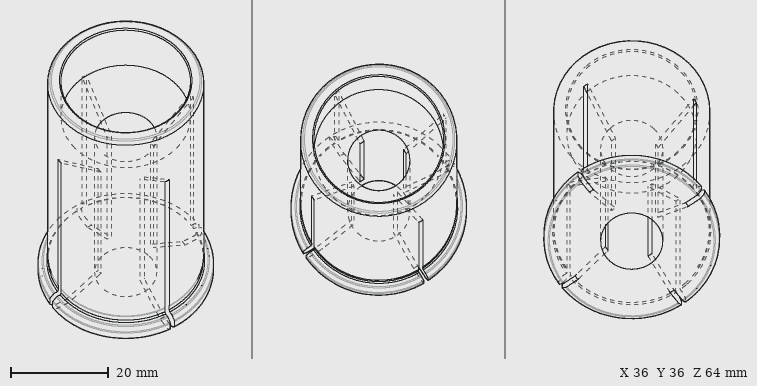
import cadquery as cq
import math

LENGTH = 64.0
BODY_RADIUS = 32.0 / 2
TOP_CHAMFER_HEIGHT = 0.98
TOP_CHAMFER_ANGLE = 30.0
TOP_CHAMFER_WIDTH = TOP_CHAMFER_HEIGHT * math.tan(math.radians(TOP_CHAMFER_ANGLE))

FLANGE_RADIUS = 36.0 / 2
FLANGE_HEIGHT = 4.0
FLANGE_CHAMFER = 1.0

GROOVE_DEPTH = 0.1
GROOVE_RADIUS = BODY_RADIUS - GROOVE_DEPTH
GROOVE_TOP = 6.0
GROOVE_TAPER_ANGLE = 15.0
GROOVE_TAPER_HEIGHT = GROOVE_DEPTH / math.tan(math.radians(GROOVE_TAPER_ANGLE))
GROOVE_FOOT_HEIGHT = 0.47
GROOVE_FOOT_ANGLE = 30.0
GROOVE_FOOT_WIDTH = GROOVE_FOOT_HEIGHT * math.tan(math.radians(GROOVE_FOOT_ANGLE))

EDGE_FILLET = 0.4

WIDE_BORE_RADIUS = 26.5 / 2
NARROW_BORE_RADIUS = 12.7 / 2
WIDE_BORE_DEPTH = 12.0
BORE_CHAMFER = 0.3

SLOT_COUNT = 4
SLOT_WIDTH = 1.0
SLOT_TOP = 48.0
SLOT_FOOT_RADIUS = 14.0
SLOT_FOOT_ANGLE = 30.0
SLOT_OVERRUN = 1.0


def make_outer_body():
    """Sleeve, groove and flange revolved about Z, with the chamfer edges rounded."""
    foot_radius = GROOVE_RADIUS + GROOVE_FOOT_WIDTH
    top_radius = BODY_RADIUS - TOP_CHAMFER_WIDTH
    flange_face_radius = FLANGE_RADIUS - FLANGE_CHAMFER
    body = (
        cq.Workplane("XZ")
        .polyline(
            [
                (0, 0),
                (flange_face_radius, 0),
                (FLANGE_RADIUS, FLANGE_CHAMFER),
                (FLANGE_RADIUS, FLANGE_HEIGHT - FLANGE_CHAMFER),
                (flange_face_radius, FLANGE_HEIGHT),
                (foot_radius, FLANGE_HEIGHT),
                (GROOVE_RADIUS, FLANGE_HEIGHT + GROOVE_FOOT_HEIGHT),
                (GROOVE_RADIUS, GROOVE_TOP - GROOVE_TAPER_HEIGHT),
                (BODY_RADIUS, GROOVE_TOP),
                (BODY_RADIUS, LENGTH - TOP_CHAMFER_HEIGHT),
                (top_radius, LENGTH),
                (0, LENGTH),
            ]
        )
        .close()
        .revolve(360, (0, 0, 0), (0, 1, 0))
    )
    rounded_radii = (FLANGE_RADIUS, flange_face_radius, top_radius)

    def is_rounded(edge):
        return any(math.isclose(edge.radius(), radius) for radius in rounded_radii)

    return body.edges("%CIRCLE").filter(is_rounded).fillet(EDGE_FILLET)


def make_bore():
    """Stepped bore with its conical transition and the chamfer at the top opening."""
    cone_top = LENGTH - WIDE_BORE_DEPTH
    cone_bottom = cone_top - (WIDE_BORE_RADIUS - NARROW_BORE_RADIUS)
    return (
        cq.Workplane("XZ")
        .polyline(
            [
                (0, 0),
                (NARROW_BORE_RADIUS, 0),
                (NARROW_BORE_RADIUS, cone_bottom),
                (WIDE_BORE_RADIUS, cone_top),
                (WIDE_BORE_RADIUS, LENGTH - BORE_CHAMFER),
                (WIDE_BORE_RADIUS + BORE_CHAMFER, LENGTH),
                (0, LENGTH),
            ]
        )
        .close()
        .revolve(360, (0, 0, 0), (0, 1, 0))
    )


def make_slot():
    """Radial slot cutter along +X, from inside the narrow bore to outside the flange."""
    inner = NARROW_BORE_RADIUS / 2
    outer = FLANGE_RADIUS + SLOT_OVERRUN
    foot_slope = math.tan(math.radians(SLOT_FOOT_ANGLE))

    def upper_end(radius):
        return SLOT_TOP + radius - BODY_RADIUS

    def lower_end(radius):
        return (SLOT_FOOT_RADIUS - radius) * foot_slope

    return (
        cq.Workplane("XZ")
        .polyline(
            [
                (inner, lower_end(inner)),
                (outer, lower_end(outer)),
                (outer, upper_end(outer)),
                (inner, upper_end(inner)),
            ]
        )
        .close()
        .extrude(SLOT_WIDTH / 2, both=True)
    )


result = make_outer_body().cut(make_bore())
for index in range(SLOT_COUNT):
    angle = index * 360 / SLOT_COUNT
    result = result.cut(make_slot().rotate((0, 0, 0), (0, 0, 1), angle))